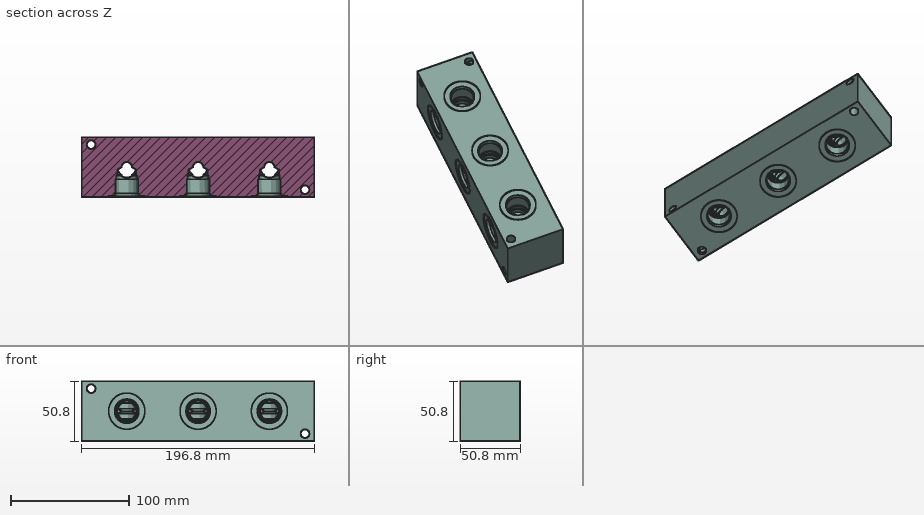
import cadquery as cq
import math

LENGTH = 196.85
SIDE = 50.8
HALF = SIDE / 2

STATION_COUNT = 3
STATION_PITCH = 60.325
SPOTFACE_DIAMETER = 30.63
SPOTFACE_DEPTH = 0.79
SEAT_DIAMETER = 20.62
SEAT_END_DIAMETER = 19.25
SEAT_DEPTH = 3.3
THREAD_DIAMETER = 19.05
THREAD_DEPTH = 15.0
TAP_DRILL_DIAMETER = 17.5
TAP_DRILL_DEPTH = 18.3
BORE_DIAMETER = 15.88
BORE_DEPTH = 23.2
DRILL_POINT_ANGLE = 118.0

MOUNT_DIAMETER = 7.14
MOUNT_END_INSET = 7.94
MOUNT_SIDE_INSET = 6.35


def port_cutter():
    """Stepped port tool on the Z axis, entering the top face and pointing down."""
    spotface_radius = SPOTFACE_DIAMETER / 2
    thread_radius = THREAD_DIAMETER / 2
    bore_radius = BORE_DIAMETER / 2
    tap_drill_radius = TAP_DRILL_DIAMETER / 2
    point_slope = math.tan(math.radians(DRILL_POINT_ANGLE / 2))
    point_length = bore_radius / point_slope
    step_length = (tap_drill_radius - bore_radius) / point_slope
    spotface_z = HALF - SPOTFACE_DEPTH
    seat_z = HALF - SEAT_DEPTH
    thread_z = HALF - THREAD_DEPTH
    tap_drill_z = HALF - TAP_DRILL_DEPTH
    bore_z = HALF - BORE_DEPTH
    profile = (
        cq.Workplane("XZ")
        .moveTo(0, HALF)
        .lineTo(spotface_radius, HALF)
        .lineTo(spotface_radius, spotface_z)
        .lineTo(SEAT_DIAMETER / 2, spotface_z)
        .lineTo(SEAT_END_DIAMETER / 2, seat_z)
        .lineTo(thread_radius, seat_z)
        .lineTo(thread_radius, thread_z)
        .lineTo(tap_drill_radius, thread_z)
        .lineTo(tap_drill_radius, tap_drill_z)
        .lineTo(bore_radius, tap_drill_z - step_length)
        .lineTo(bore_radius, bore_z)
        .lineTo(0, bore_z - point_length)
        .close()
    )
    return profile.revolve(360, (0, 0, 0), (0, 1, 0))


def cut_ports(body):
    """Cut the top, front and bottom ports of every station."""
    top_port = port_cutter()
    first_x = -STATION_PITCH * (STATION_COUNT - 1) / 2
    for station in range(STATION_COUNT):
        x = first_x + station * STATION_PITCH
        for tilt in (0, 90, 180):
            port = top_port.rotate((0, 0, 0), (1, 0, 0), tilt)
            body = body.cut(port.translate((x, 0, 0)))
    return body


def cut_mounting_holes(body):
    """Drill the corner holes right through, along Z and along Y."""
    end_x = LENGTH / 2 - MOUNT_END_INSET
    side = HALF - MOUNT_SIDE_INSET
    corners = [(-end_x, side), (end_x, -side)]
    for plane in ("XY", "XZ"):
        holes = (
            cq.Workplane(plane)
            .pushPoints(corners)
            .circle(MOUNT_DIAMETER / 2)
            .extrude(HALF, both=True)
        )
        body = body.cut(holes)
    return body


block = cq.Workplane("XY").box(LENGTH, SIDE, SIDE)
result = cut_mounting_holes(cut_ports(block))